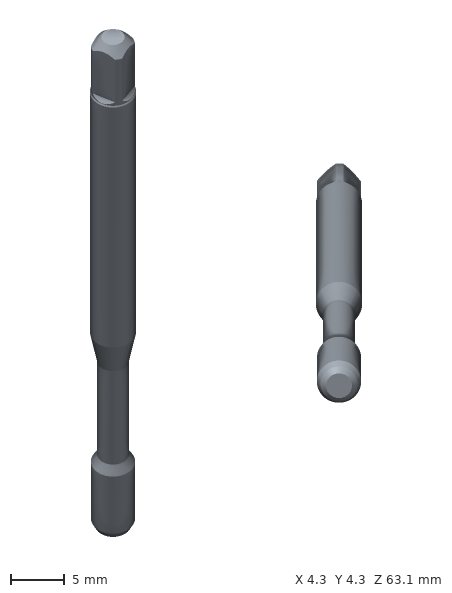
import cadquery as cq

total_length = 63.1
shank_diameter = 4.3
neck_diameter = 2.95
head_diameter = 4.1
drive_diameter = 4.1

head_length = 9.6
head_top_chamfer = 1.0
lead_length = 1.25
tip_height = 0.5
lead_end_diameter = 3.4
tip_diameter = 2.4

taper_start = 21.6
taper_end = 25.25
shank_top = 56.1
shank_chamfer = 0.1

across_flats = 3.35
flat_bottom = 56.65
drive_top_diameter = 2.15


def revolve_profile(points):
    """Revolve (radius, height) points about the Z axis."""
    return cq.Workplane("XZ").polyline(points).close().revolve(360, (0, 0), (0, 1))


def flat_cutter():
    """Material removed beside one drive flat, with a 45 degree run-out."""
    flat = across_flats / 2
    outside = shank_diameter
    return (
        cq.Workplane("XZ")
        .polyline([
            (flat, total_length),
            (flat, flat_bottom),
            (outside, flat_bottom - (outside - flat)),
            (outside, total_length),
        ])
        .close()
        .extrude(shank_diameter, both=True)
    )


def make_head():
    """Working head: chamfered top, cylinder, and a two-stage conical tip."""
    return revolve_profile([
        (0, 0),
        (tip_diameter / 2, 0),
        (lead_end_diameter / 2, tip_height),
        (head_diameter / 2, lead_length),
        (head_diameter / 2, head_length - head_top_chamfer),
        (neck_diameter / 2, head_length),
        (0, head_length),
    ])


def make_shank():
    """Neck, taper, shank and square drive, standing on the head."""
    end_chamfer = (drive_diameter - drive_top_diameter) / 2
    shank = revolve_profile([
        (0, head_length),
        (neck_diameter / 2, head_length),
        (neck_diameter / 2, taper_start),
        (shank_diameter / 2, taper_end),
        (shank_diameter / 2, shank_top),
        (drive_diameter / 2, shank_top + shank_chamfer),
        (drive_diameter / 2, total_length - end_chamfer),
        (drive_top_diameter / 2, total_length),
        (0, total_length),
    ])
    for angle in range(0, 360, 90):
        shank = shank.cut(flat_cutter().rotate((0, 0, 0), (0, 0, 1), angle))
    return shank


head = make_head()
shank = make_shank()
result = cq.Compound.makeCompound([head.val(), *shank.vals()])